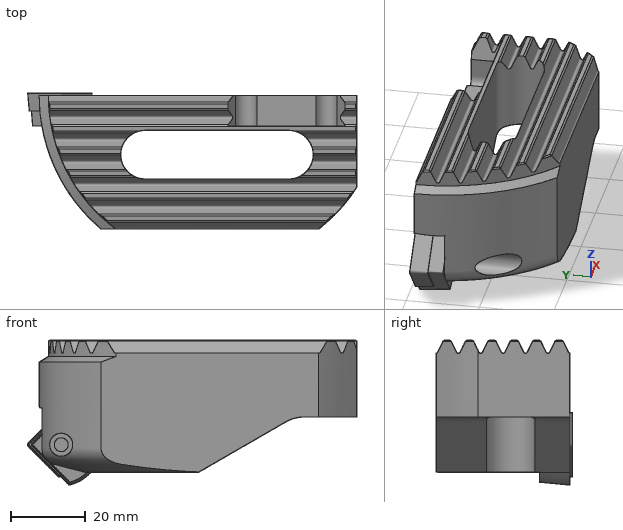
import cadquery as cq
import math


LENGTH = 88.3
WIDTH = 35.8
CREST_Z = 35.5
END_Z = 14.8
RAMP_START_X = 45.8
RAMP_ANGLE = 30.0
RAMP_FILLET = 10.0

BORE_X = 50.05
NOSE_RADIUS = 47.0
END_RADIUS = 45.5
LEDGE_RADIUS = 44.5
LEDGE_LOW_Z = 29.6
LEDGE_HIGH_Z = 31.1
NOSE_FILLET = 4.4
NOSE_FILLET_TOP_Z = 6.45
NOSE_CONE_ANGLE = 15.0

TOOTH_COUNT = 6
TOOTH_PITCH = 6.0
VALLEY_Z = 32.0
VALLEY_RADIUS = 0.5
FLANK_ANGLE = 26.0
CREST_CHAMFER = 0.35

SLOT_LEFT_X = 25.0
SLOT_RIGHT_X = 76.5
SLOT_WIDTH = 13.0
SLOT_Y = -15.9

KEY_LEFT_X = 61.4
KEY_RIGHT_X = 77.3
KEY_FLOOR_Z = 24.7
KEY_GROOVE_RADIUS = 2.8
KEY_FLARE = 2.1
KEY_FLARE_Z = 29.7
KEY_DEPTH = 8.2

INSERT_SIDE = 12.7
INSERT_CORNER = 0.8
INSERT_THICKNESS = 4.85
INSERT_OVERHANG = 0.6
RELIEF_ANGLE = 5.0
TIP_Z = 7.4

CARTRIDGE_RADIUS = 11.1
CARTRIDGE_DEPTH = 8.2
CARTRIDGE_FLAT = 5.9
SEAT_CLEARANCE = 0.5

SCREW_X = 9.0
SCREW_RADIUS = 1.85
SCREW_END_Y = -13.7
BUSH_RADIUS = 3.1
BUSH_END_Y = -14.8

INSERT_X = (INSERT_SIDE / 2 - INSERT_CORNER) * math.sqrt(2) + INSERT_CORNER


def cylinder_along_y(x, z, radius, start_y, end_y):
    """Cylinder that runs in the -Y direction from start_y to end_y."""
    plane = cq.Workplane("XZ", origin=(x, start_y, z))
    return plane.circle(radius).extrude(start_y - end_y)


def tapered_square(center_x, side, start_y, depth):
    """Square plate on its corner with rounded corners, narrowing in the -Y direction."""
    outline = cq.Sketch().rect(side, side, angle=45).vertices().fillet(INSERT_CORNER)
    plane = cq.Workplane("XZ", origin=(center_x, start_y, TIP_Z))
    return plane.placeSketch(outline).extrude(depth, taper=RELIEF_ANGLE)


def tapered_disc(radius):
    """Disc about the insert axis, narrowing from the back face to the cartridge depth."""
    plane = cq.Workplane("XZ", origin=(INSERT_X, 0, TIP_Z))
    return plane.circle(radius).extrude(CARTRIDGE_DEPTH, taper=RELIEF_ANGLE)


def side_prism():
    """Side outline with the sloped underside, across the full width."""
    ramp_end_x = RAMP_START_X + END_Z / math.tan(math.radians(RAMP_ANGLE))
    prism = (
        cq.Workplane("XZ")
        .moveTo(0, 0)
        .lineTo(RAMP_START_X, 0)
        .lineTo(ramp_end_x, END_Z)
        .lineTo(LENGTH, END_Z)
        .lineTo(LENGTH, CREST_Z)
        .lineTo(0, CREST_Z)
        .close()
        .extrude(WIDTH)
    )
    ramp_top = cq.selectors.NearestToPointSelector((ramp_end_x, -WIDTH / 2, END_Z))
    return prism.edges(ramp_top).fillet(RAMP_FILLET)


def round_envelope():
    """Turned nose on the -X side of the bore axis and a plain cylinder on the +X side."""
    cone = math.radians(NOSE_CONE_ANGLE)
    fillet_r = NOSE_RADIUS - NOSE_FILLET
    cone_top_r = fillet_r + NOSE_FILLET * math.sin(cone)
    cone_top_z = NOSE_FILLET_TOP_Z - NOSE_FILLET * math.cos(cone)
    cone_base_r = cone_top_r - cone_top_z / math.tan(cone)
    middle = (math.pi / 2 - cone) / 2
    arc_middle = (
        fillet_r + NOSE_FILLET * math.cos(middle),
        NOSE_FILLET_TOP_Z - NOSE_FILLET * math.sin(middle),
    )
    axis_plane = cq.Workplane("XZ", origin=(BORE_X, 0, 0))
    nose = (
        axis_plane.moveTo(0, 0)
        .lineTo(-cone_base_r, 0)
        .lineTo(-cone_top_r, cone_top_z)
        .threePointArc((-arc_middle[0], arc_middle[1]), (-NOSE_RADIUS, NOSE_FILLET_TOP_Z))
        .lineTo(-NOSE_RADIUS, LEDGE_LOW_Z)
        .lineTo(-LEDGE_RADIUS, LEDGE_HIGH_Z)
        .lineTo(-LEDGE_RADIUS, CREST_Z)
        .lineTo(0, CREST_Z)
        .close()
        .revolve(90, (0, 0, 0), (0, 1, 0))
    )
    plain_end = axis_plane.rect(END_RADIUS, CREST_Z, centered=False).revolve(90, (0, 0, 0), (0, -1, 0))
    return nose.union(plain_end)


def serration_cutter():
    """Round-bottomed V grooves, with a half groove on each long side."""
    flank = math.radians(FLANK_ANGLE)
    arc_half_width = VALLEY_RADIUS * math.cos(flank)
    arc_top_z = VALLEY_Z + VALLEY_RADIUS * (1 - math.sin(flank))
    top_half_width = arc_half_width + (CREST_Z - arc_top_z) * math.tan(flank)
    cutter = cq.Workplane("YZ")
    for i in range(TOOTH_COUNT + 1):
        y = -WIDTH / 2 + (i - TOOTH_COUNT / 2) * TOOTH_PITCH
        groove = (
            cq.Workplane("YZ")
            .moveTo(y - top_half_width, CREST_Z)
            .lineTo(y - arc_half_width, arc_top_z)
            .threePointArc((y, VALLEY_Z), (y + arc_half_width, arc_top_z))
            .lineTo(y + top_half_width, CREST_Z)
            .close()
            .extrude(LENGTH)
        )
        cutter = cutter.add(groove)
    return cutter


def slot_cutter():
    return (
        cq.Workplane("XY")
        .center((SLOT_LEFT_X + SLOT_RIGHT_X) / 2, SLOT_Y)
        .slot2D(SLOT_RIGHT_X - SLOT_LEFT_X, SLOT_WIDTH)
        .extrude(CREST_Z)
    )


def key_pocket_cutter():
    """Pocket open to the back and the top: flared ends, then upright walls down into the grooves."""
    wall_left_x = KEY_LEFT_X - 2 * KEY_GROOVE_RADIUS
    wall_right_x = KEY_RIGHT_X + 2 * KEY_GROOVE_RADIUS
    groove_bottom_z = KEY_FLOOR_Z - KEY_GROOVE_RADIUS
    return (
        cq.Workplane("XZ")
        .moveTo(KEY_LEFT_X, KEY_FLOOR_Z)
        .threePointArc((KEY_LEFT_X - KEY_GROOVE_RADIUS, groove_bottom_z), (wall_left_x, KEY_FLOOR_Z))
        .lineTo(wall_left_x, KEY_FLARE_Z)
        .lineTo(wall_left_x - KEY_FLARE, CREST_Z)
        .lineTo(wall_right_x + KEY_FLARE, CREST_Z)
        .lineTo(wall_right_x, KEY_FLARE_Z)
        .lineTo(wall_right_x, KEY_FLOOR_Z)
        .threePointArc((KEY_RIGHT_X + KEY_GROOVE_RADIUS, groove_bottom_z), (KEY_RIGHT_X, KEY_FLOOR_Z))
        .close()
        .extrude(KEY_DEPTH)
    )


def make_holder():
    block = side_prism().intersect(round_envelope()).cut(serration_cutter())
    block = block.faces(">Z").edges().chamfer(CREST_CHAMFER)
    bush_hole = cylinder_along_y(SCREW_X, TIP_Z, BUSH_RADIUS, 0, -WIDTH)
    cartridge_seat = tapered_disc(CARTRIDGE_RADIUS + SEAT_CLEARANCE)
    return block.cut(slot_cutter()).cut(key_pocket_cutter()).cut(cartridge_seat).cut(bush_hole)


def make_screw():
    return cylinder_along_y(SCREW_X, TIP_Z, SCREW_RADIUS, INSERT_OVERHANG, SCREW_END_Y)


def make_bush():
    bush = cylinder_along_y(SCREW_X, TIP_Z, BUSH_RADIUS, -CARTRIDGE_DEPTH, BUSH_END_Y)
    screw_hole = cylinder_along_y(SCREW_X, TIP_Z, SCREW_RADIUS, -CARTRIDGE_DEPTH, BUSH_END_Y)
    return bush.cut(screw_hole)


def full_insert():
    return tapered_square(INSERT_X, INSERT_SIDE, INSERT_OVERHANG, INSERT_THICKNESS)


def make_insert():
    return full_insert().cut(make_screw())


def make_cartridge():
    """Disc with two flats that meet at the tip, recessed for the insert."""
    blank_side = 2 * CARTRIDGE_RADIUS
    blank_x = INSERT_X + (blank_side / 2 - CARTRIDGE_FLAT) * math.sqrt(2)
    flats = tapered_square(blank_x, blank_side, 0, CARTRIDGE_DEPTH)
    return tapered_disc(CARTRIDGE_RADIUS).intersect(flats).cut(full_insert()).cut(make_screw())


holder = make_holder()
cartridge = make_cartridge()
insert = make_insert()
screw = make_screw()
bush = make_bush()

result = cq.Compound.makeCompound(
    [holder.val(), cartridge.val(), insert.val(), screw.val(), bush.val()]
)